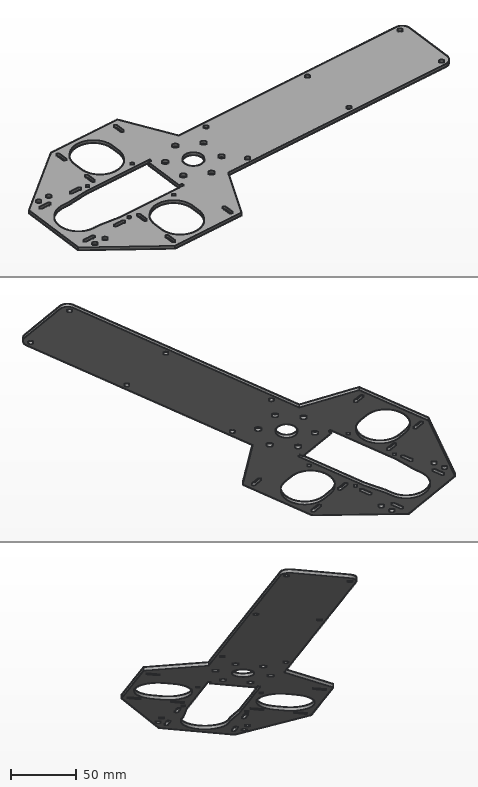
import cadquery as cq

length = 369.3
width = 150.0
thickness = 3.0
stem_width = 60.0
stem_corner_radius = 7.5
neck_y = -37.0
shoulder_y = -60.5
hip_y = -126.3

stem_hole_diameter = 4.0
stem_hole_x = 25.0
stem_hole_ys = (177.3, 86.0, -14.0)
hub_y = -47.0
hub_diameter = 17.0
bolt_hole_diameter = 5.0
bolt_circle_diameter = 43.5
bolt_count = 6
pin_hole_diameter = 3.0
pin_hole_ys = (-86.8, -130.7)
foot_hole_diameter = 4.5
foot_hole_x = 34.0
foot_hole_ys = (-161.7, -171.7)

window_length = 44.5
window_height = 37.0
window_x = 48.5
window_y = -102.5
slot_length = 10.7
slot_width = 3.0
outer_slot_x = 65.7
inner_slot_x = 31.5
upper_slot_y = -67.0
lower_slot_y = -123.5
upright_slot_x = 26.5
upright_slot_ys = (-141.5, -171.5)

opening_half_width = 20.5
opening_top_y = -76.0
opening_end_radius = 18.5
opening_end_y = -160.3
taper_top_y = -136.0
taper_end_y = -154.5
notch_width = 2.2
notch_top_y = -73.0


def mirrored(x, ys):
    """Points at each Y on both sides of the centre line."""
    return [(side * x, y) for side in (-1, 1) for y in ys]


def round_cutter(points, diameter):
    return cq.Workplane("XY").pushPoints(points).circle(diameter / 2).extrude(thickness)


def slot_cutter(points, long_side, short_side, angle=0):
    return cq.Workplane("XY").pushPoints(points).slot2D(long_side, short_side, angle).extrude(thickness)


def make_plate():
    half_width = width / 2
    half_stem = stem_width / 2
    half_length = length / 2
    right_side = [
        (half_stem, -half_length),
        (half_width, hip_y),
        (half_width, shoulder_y),
        (half_stem, neck_y),
        (half_stem, half_length),
    ]
    left_side = [(-x, y) for x, y in reversed(right_side)]
    plate = cq.Workplane("XY").polyline(right_side + left_side).close().extrude(thickness)
    return plate.edges("|Z").edges(">Y").fillet(stem_corner_radius)


def make_central_opening():
    notch_inner_x = opening_half_width - notch_width
    return (
        cq.Workplane("XY")
        .moveTo(-notch_inner_x, opening_top_y)
        .lineTo(notch_inner_x, opening_top_y)
        .lineTo(notch_inner_x, notch_top_y)
        .lineTo(opening_half_width, notch_top_y)
        .lineTo(opening_half_width, taper_top_y)
        .lineTo(opening_end_radius, taper_end_y)
        .lineTo(opening_end_radius, opening_end_y)
        .threePointArc((0, opening_end_y - opening_end_radius), (-opening_end_radius, opening_end_y))
        .lineTo(-opening_end_radius, taper_end_y)
        .lineTo(-opening_half_width, taper_top_y)
        .lineTo(-opening_half_width, notch_top_y)
        .lineTo(-notch_inner_x, notch_top_y)
        .close()
        .extrude(thickness)
    )


def make_bolt_circle():
    return (
        cq.Workplane("XY")
        .center(0, hub_y)
        .polarArray(bolt_circle_diameter / 2, 0, 360, bolt_count)
        .circle(bolt_hole_diameter / 2)
        .extrude(thickness)
    )


level_slots = mirrored(outer_slot_x, (upper_slot_y, lower_slot_y)) + mirrored(inner_slot_x, (lower_slot_y,))

cutters = [
    make_central_opening(),
    make_bolt_circle(),
    round_cutter([(0, hub_y)], hub_diameter),
    round_cutter(mirrored(stem_hole_x, stem_hole_ys), stem_hole_diameter),
    round_cutter(mirrored(stem_hole_x, pin_hole_ys), pin_hole_diameter),
    round_cutter(mirrored(foot_hole_x, foot_hole_ys), foot_hole_diameter),
    slot_cutter(mirrored(window_x, (window_y,)), window_length, window_height),
    slot_cutter(level_slots, slot_length, slot_width),
    slot_cutter(mirrored(upright_slot_x, upright_slot_ys), slot_length, slot_width, angle=90),
]

result = make_plate()
for cutter in cutters:
    result = result.cut(cutter)